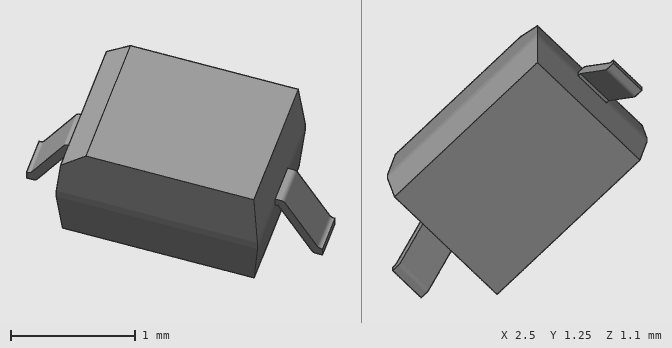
import cadquery as cq
import math

OVERALL_LENGTH = 2.5
HEIGHT = 1.1

BODY_LENGTH = 1.7
BODY_WIDTH = 1.25
BODY_BOTTOM = 0.05
DRAFT_ANGLE = 5.0
CHAMFER_TOP_X = -0.612
CHAMFER_LOW_Z = 0.91

LEAD_THICKNESS = 0.08
LEAD_WIDTH = 0.325
LEAD_TOP = 0.59
LEAD_SLOPE_ANGLE = 60.0
BEND_RADIUS = 0.042
FOOT_LENGTH = 0.032

LEAD_UNDERSIDE = LEAD_TOP - LEAD_THICKNESS


def drafted_half(start_z, height):
    """Half of the housing, tapering away from the band; negative height goes down."""
    inset = abs(height) * math.tan(math.radians(DRAFT_ANGLE))
    return (
        cq.Workplane("XY", origin=(0, 0, start_z))
        .rect(BODY_LENGTH, BODY_WIDTH)
        .workplane(offset=height)
        .rect(BODY_LENGTH - 2 * inset, BODY_WIDTH - 2 * inset)
        .loft(ruled=True)
    )


def chamfer_cutter():
    """Triangular prism that bevels the upper -X edge of the housing."""
    draft = math.tan(math.radians(DRAFT_ANGLE))
    chamfer_low_x = -BODY_LENGTH / 2 + (CHAMFER_LOW_Z - LEAD_TOP) * draft
    slope = (HEIGHT - CHAMFER_LOW_Z) / (CHAMFER_TOP_X - chamfer_low_x)
    outer_x = -BODY_LENGTH / 2
    outer_z = CHAMFER_LOW_Z - slope * (chamfer_low_x - outer_x)
    return (
        cq.Workplane("XZ")
        .polyline([(CHAMFER_TOP_X, HEIGHT), (outer_x, HEIGHT), (outer_x, outer_z)])
        .close()
        .extrude(BODY_WIDTH / 2, both=True)
    )


def make_housing():
    band = (
        cq.Workplane("XY", origin=(0, 0, LEAD_UNDERSIDE))
        .rect(BODY_LENGTH, BODY_WIDTH)
        .extrude(LEAD_THICKNESS)
    )
    upper = drafted_half(LEAD_TOP, HEIGHT - LEAD_TOP)
    lower = drafted_half(LEAD_UNDERSIDE, BODY_BOTTOM - LEAD_UNDERSIDE)
    return band.union(upper).union(lower).cut(chamfer_cutter())


def make_lead():
    """Bent strip on the -X side, from the housing wall down to the foot."""
    wall_x = -BODY_LENGTH / 2
    toe_x = -OVERALL_LENGTH / 2
    miter_shift = LEAD_THICKNESS * math.tan(math.radians(LEAD_SLOPE_ANGLE / 2))
    slope_run = LEAD_UNDERSIDE / math.tan(math.radians(LEAD_SLOPE_ANGLE))
    foot_corner_x = toe_x + FOOT_LENGTH
    shoulder_x = foot_corner_x + slope_run
    heel_x = foot_corner_x + miter_shift
    outline = [
        (wall_x, LEAD_TOP),
        (shoulder_x, LEAD_TOP),
        (foot_corner_x, LEAD_THICKNESS),
        (toe_x, LEAD_THICKNESS),
        (toe_x, 0),
        (heel_x, 0),
        (shoulder_x + miter_shift, LEAD_UNDERSIDE),
        (wall_x, LEAD_UNDERSIDE),
    ]
    strip = cq.Workplane("XZ").polyline(outline).close().extrude(LEAD_WIDTH / 2, both=True)
    for bend in [(shoulder_x, 0, LEAD_TOP), (foot_corner_x, 0, LEAD_THICKNESS), (heel_x, 0, 0)]:
        strip = strip.edges(cq.selectors.NearestToPointSelector(bend)).fillet(BEND_RADIUS)
    return strip


housing = make_housing()
leads = []
for turn in (0, 180):
    leads.append(make_lead().rotate((0, 0, 0), (0, 0, 1), turn).val())

result = cq.Compound.makeCompound([housing.val(), *leads])